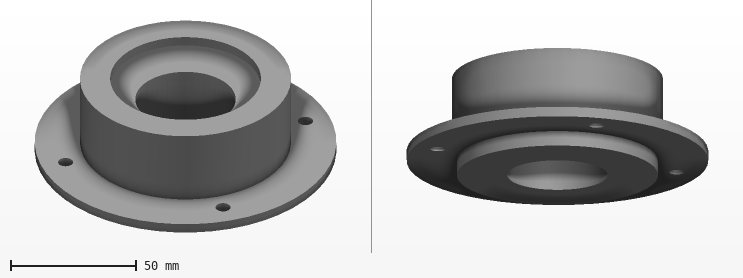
import cadquery as cq

flange_diameter = 120.0
hub_diameter = 84.0
sleeve_diameter = 80.0
lip_opening_diameter = 60.0
bore_diameter = 40.0

sleeve_height = 30.0
sleeve_protrusion = 6.0
flange_thickness = 4.0
hub_height = 30.0
lip_thickness = 4.0
flange_bottom = sleeve_protrusion
flange_top = flange_bottom + flange_thickness
total_height = flange_top + hub_height
lip_bottom = total_height - lip_thickness

hole_diameter = 6.0
hole_circle_diameter = 100.0
hole_count = 4


def cylinder(diameter, bottom, top):
    """Solid cylinder on the Z axis between two heights."""
    return cq.Workplane("XY").workplane(offset=bottom).circle(diameter / 2).extrude(top - bottom)


def make_mounting_holes():
    """Cutters for the evenly spaced holes through the flange."""
    return (
        cq.Workplane("XY")
        .workplane(offset=flange_bottom)
        .polarArray(hole_circle_diameter / 2, 0, 360, hole_count)
        .circle(hole_diameter / 2)
        .extrude(flange_thickness)
    )


def make_housing():
    """Flanged cup, open below, with an inward lip around its top opening."""
    flange = cylinder(flange_diameter, flange_bottom, flange_top)
    hub = cylinder(hub_diameter, flange_top, total_height)
    cavity = cylinder(sleeve_diameter, flange_bottom, lip_bottom)
    lip_opening = cylinder(lip_opening_diameter, lip_bottom, total_height)
    return flange.union(hub).cut(cavity).cut(lip_opening).cut(make_mounting_holes())


def make_sleeve():
    """Thick ring that fits the cavity, stops short of the lip and sticks out below the flange."""
    return cylinder(sleeve_diameter, 0, sleeve_height).cut(cylinder(bore_diameter, 0, sleeve_height))


housing = make_housing()
sleeve = make_sleeve()

result = cq.Compound.makeCompound([housing.val(), sleeve.val()])